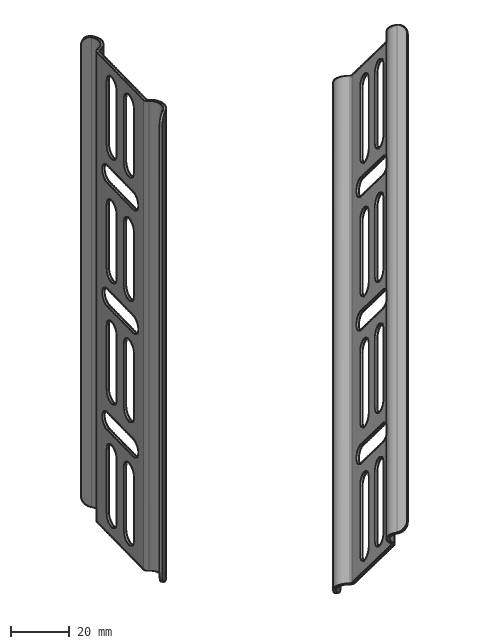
import cadquery as cq
import math

length = 190.0
width = 58.3
thickness = 1.0
depth = 5.0
arch_outer_radius = 5.5
bend_inner_radius = 0.8
flange_angle = math.radians(45)
corner_radius = 3.8

long_slot_width = 7.2
long_slot_length = 33.0
long_slot_spacing = 12.5
inner_pair_height = 24.5
outer_pair_height = 74.5
cross_slot_width = 7.0
cross_slot_length = 26.0
cross_slot_pitch = 50.0

arch_inner_radius = arch_outer_radius - thickness
bend_outer_radius = bend_inner_radius + thickness
sin_flange = math.sin(flange_angle)
cos_flange = math.cos(flange_angle)

tip_outer = (width / 2, thickness * cos_flange)
tip_inner = (width / 2 - thickness * sin_flange, 0)
arch_y = depth - arch_outer_radius
arch_x = tip_inner[0] - (arch_inner_radius + arch_y * cos_flange) / sin_flange

bend_y = bend_outer_radius
centre_distance = arch_outer_radius + bend_inner_radius
join_angle = math.acos((bend_y - arch_y) / centre_distance)
bend_x = arch_x - centre_distance * math.sin(join_angle)


def arch_point(radius, angle):
    """Point on the right arch; the angle runs from its crown towards the flange."""
    return (arch_x + radius * math.sin(angle), arch_y + radius * math.cos(angle))


def bend_point(radius, angle):
    """Point on the right bend; the angle runs from its foot towards the arch."""
    return (bend_x + radius * math.sin(angle), bend_y - radius * math.cos(angle))


def half_profile():
    """Right half of the bent sheet section, from the centre plane to the flange tip."""
    return (
        cq.Workplane("XY")
        .moveTo(0, 0)
        .lineTo(bend_x, 0)
        .threePointArc(bend_point(bend_outer_radius, join_angle / 2), bend_point(bend_outer_radius, join_angle))
        .threePointArc(arch_point(arch_inner_radius, 0), arch_point(arch_inner_radius, flange_angle))
        .lineTo(*tip_inner)
        .lineTo(*tip_outer)
        .lineTo(*arch_point(arch_outer_radius, flange_angle))
        .threePointArc(arch_point(arch_outer_radius, 0), arch_point(arch_outer_radius, -join_angle))
        .threePointArc(bend_point(bend_inner_radius, join_angle / 2), bend_point(bend_inner_radius, 0))
        .lineTo(0, thickness)
        .close()
    )


def bent_sheet():
    """Symmetric sheet with the end corners of both flanges rounded."""
    half = half_profile().extrude(length / 2, both=True)
    tip_middle = ((tip_outer[0] + tip_inner[0]) / 2, (tip_outer[1] + tip_inner[1]) / 2)
    for end in (-1, 1):
        corner = cq.selectors.NearestToPointSelector((*tip_middle, end * length / 2))
        half = half.edges(corner).fillet(corner_radius)
    return half.union(half.mirror("YZ")).clean()


def web_slots(positions, slot_length, slot_width, angle):
    """Cutters through the flat web at the given (X, Z) positions."""
    return (
        cq.Workplane("XZ")
        .pushPoints(positions)
        .slot2D(slot_length, slot_width, angle)
        .extrude(thickness * 2, both=True)
    )


pair_heights = (-outer_pair_height, -inner_pair_height, inner_pair_height, outer_pair_height)
pair_positions = [(side * long_slot_spacing / 2, z) for side in (-1, 1) for z in pair_heights]
cross_positions = [(0, row * cross_slot_pitch) for row in (-1, 0, 1)]

result = bent_sheet()
result = result.cut(web_slots(pair_positions, long_slot_length, long_slot_width, 90))
result = result.cut(web_slots(cross_positions, cross_slot_length, cross_slot_width, 0))